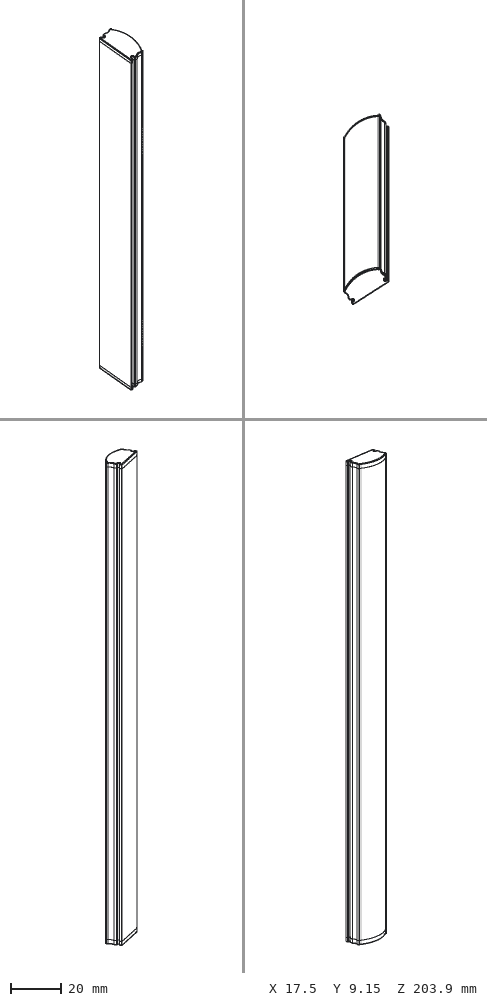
import cadquery as cq
import math

total_length = 203.9
profile_length = 200.0
width = 17.5
height = 9.15
cap_thickness = (total_length - profile_length) / 2
cap_chamfer = 0.3

half_width = width / 2
base_chamfer = 0.2

slot_center_y = 1.68
slot_radius = 0.43
slot_mouth_chamfer = 0.27
slot_depth = 1.38
slot_round_x = half_width - slot_depth + slot_radius

groove_center_y = 4.7
groove_radius = 1.9
groove_depth = 0.44
groove_center_x = half_width - groove_depth + groove_radius

lip_shoulder_y = 6.9
lip_tip_x = 8.62
lip_tip_y = 7.12
valley_x = 8.3
valley_y = 6.7

spring_x = 7.85
spring_y = 7.05
arch_rise = height - spring_y
arch_radius = (spring_x**2 + arch_rise**2) / (2 * arch_rise)
arch_center_y = height - arch_radius
arch_half_angle = math.asin(spring_x / arch_radius)


def polyline_edges(points):
    """Straight edges that join the points in order."""
    return [cq.Edge.makeLine(start, end) for start, end in zip(points, points[1:])]


def section_wire(inset, z):
    """Closed cross-section at height z, with every side moved into the material by inset."""

    def at(x, y):
        return cq.Vector(x, y, z)

    wall_x = half_width - inset
    slot_r = slot_radius + inset
    groove_r = groove_radius + inset
    groove_half_opening = math.sqrt(groove_r**2 - (groove_center_x - wall_x) ** 2)
    arch_r = arch_radius - inset
    spring = at(
        arch_r * math.sin(arch_half_angle),
        arch_center_y + arch_r * math.cos(arch_half_angle),
    )

    base_corner = at(wall_x - base_chamfer, inset)
    slot_start = at(slot_round_x, slot_center_y - slot_r)
    slot_bottom = at(slot_round_x - slot_r, slot_center_y)
    slot_end = at(slot_round_x, slot_center_y + slot_r)
    groove_start = at(wall_x, groove_center_y - groove_half_opening)
    groove_bottom = at(groove_center_x - groove_r, groove_center_y)
    groove_end = at(wall_x, groove_center_y + groove_half_opening)

    below_slot = polyline_edges(
        [
            base_corner,
            at(wall_x, inset + base_chamfer),
            at(wall_x, slot_center_y - slot_r - slot_mouth_chamfer),
            at(wall_x - slot_mouth_chamfer, slot_center_y - slot_r),
            slot_start,
        ]
    )
    slot_round = cq.Edge.makeThreePointArc(slot_start, slot_bottom, slot_end)
    above_slot = polyline_edges(
        [
            slot_end,
            at(wall_x - slot_mouth_chamfer, slot_center_y + slot_r),
            at(wall_x, slot_center_y + slot_r + slot_mouth_chamfer),
            groove_start,
        ]
    )
    groove = cq.Edge.makeThreePointArc(groove_start, groove_bottom, groove_end)
    lip = polyline_edges(
        [
            groove_end,
            at(wall_x, lip_shoulder_y - inset),
            at(lip_tip_x - inset, lip_tip_y - inset),
            at(valley_x - inset, valley_y - inset),
            spring,
        ]
    )
    right_side = [*below_slot, slot_round, *above_slot, groove, *lip]
    left_side = [edge.mirror("YZ") for edge in reversed(right_side)]

    arch = cq.Edge.makeThreePointArc(spring, at(0, height - inset), at(-spring.x, spring.y))
    base = cq.Edge.makeLine(at(-base_corner.x, inset), base_corner)
    return cq.Wire.assembleEdges([base, *right_side, arch, *left_side])


def extruded_section(length):
    """Straight bar of the full cross-section, from Z = 0 up to the given length."""
    face = cq.Face.makeFromWires(section_wire(0, 0))
    return cq.Workplane(cq.Solid.extrudeLinear(face, cq.Vector(0, 0, length)))


def make_end_cap():
    """End cap standing on Z = 0, its outer end chamfered all round."""
    straight_length = cap_thickness - cap_chamfer
    chamfered_end = cq.Solid.makeLoft(
        [section_wire(0, straight_length), section_wire(cap_chamfer, cap_thickness)],
        True,
    )
    joined = extruded_section(straight_length).union(cq.Workplane(chamfered_end))
    return cq.Workplane(joined.solids().val())


profile = extruded_section(profile_length)

top_cap = make_end_cap().translate((0, 0, profile_length))
bottom_cap = make_end_cap().mirror("XY")

result = cq.Compound.makeCompound([profile.val(), top_cap.val(), bottom_cap.val()])